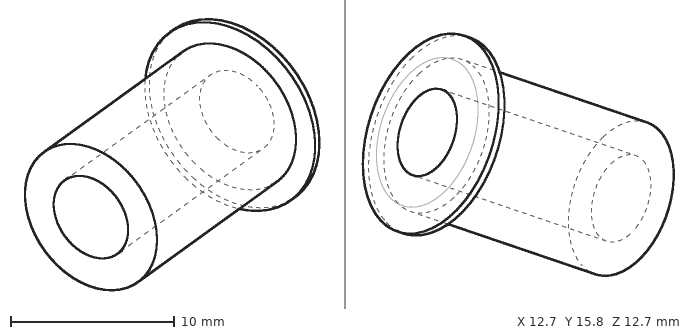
import cadquery as cq

BODY_DIAMETER = 9.85
BODY_LENGTH = 15.0
BORE_DIAMETER = 5.55
FLANGE_DIAMETER = 12.7
FLANGE_THICKNESS = 0.75
RIM_THICKNESS = 0.47
FLANGE_FACE_DIAMETER = 9.5


def bushing_profile():
    """Closed half section in the XY plane, with radius along X and the axis along Y."""
    bore_radius = BORE_DIAMETER / 2
    body_radius = BODY_DIAMETER / 2
    flange_radius = FLANGE_DIAMETER / 2
    face_radius = FLANGE_FACE_DIAMETER / 2
    return (
        cq.Workplane("XY")
        .moveTo(bore_radius, -BODY_LENGTH)
        .lineTo(body_radius, -BODY_LENGTH)
        .lineTo(body_radius, 0)
        .lineTo(flange_radius, 0)
        .lineTo(flange_radius, RIM_THICKNESS)
        .lineTo(face_radius, FLANGE_THICKNESS)
        .lineTo(bore_radius, FLANGE_THICKNESS)
        .close()
    )


result = bushing_profile().revolve(360, (0, 0, 0), (0, 1, 0))